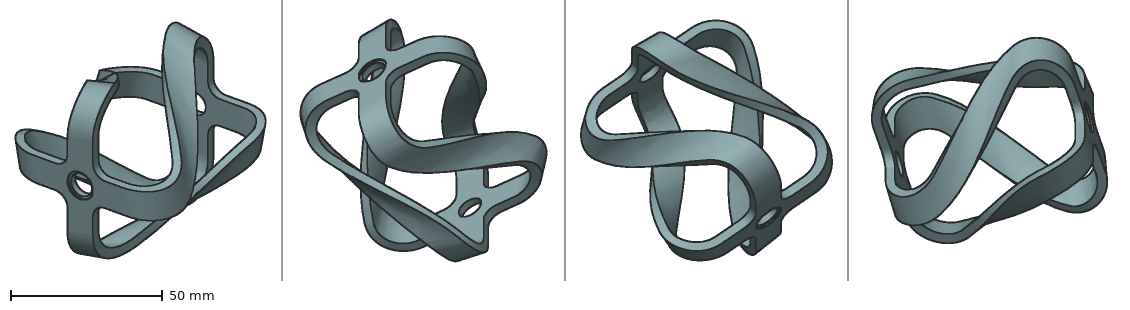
import cadquery as cq

HALF_LENGTH = 68.68 / 2
THICKNESS = 3.25
HALF_WIDTH = 5.2
ARM_COUNT = 4
ROOT_FILLET = 5.0

BORE_DIAMETER = 8.5
COUNTERBORE_DIAMETER = 2 * HALF_WIDTH
COUNTERBORE_DEPTH = 0.7

TRAILING_START = 19.5
TRAILING_SEAM = cq.Vector(32.58, -17.69, -2.43)
TRAILING_HEADING = cq.Vector(-0.3, 1, 0.44).normalized()
TRAILING_HANDLES = (8.59, 9.16, 15.91)

LEADING_START = 16.7
LEADING_SEAM = cq.Vector(27.77, -15.58, 10.68)
LEADING_HEADING = cq.Vector(-0.86, 1, 0.79).normalized()
LEADING_HANDLES = (10.7, 12.99, 16.31)

CORNER_RADIUS = 12.5

SEAM_INWARD = (LEADING_SEAM - TRAILING_SEAM).cross(TRAILING_HEADING + LEADING_HEADING).normalized()


def end_swap(point):
    """Half turn about the line x = z, y = 0, which maps a band's two ends onto each other."""
    return cq.Vector(point.z, -point.y, point.x)


def corner_points(start_x, side, seam, heading, handles, inset):
    """Bezier points of a corner edge, inset below the outer surface."""
    shrink = 1 - inset / CORNER_RADIUS
    start_handle, end_handle, _ = handles
    start = cq.Vector(start_x, -HALF_LENGTH + inset, side * HALF_WIDTH)
    end = seam + SEAM_INWARD * inset
    return [
        start,
        start + cq.Vector(start_handle * shrink, 0, 0),
        end - heading * (end_handle * shrink),
        end,
    ]


def trailing_rail(inset):
    """Bezier points of the trailing edge: front corner, middle and back corner.

    The back half of the trailing edge is the end-swapped leading edge of the front half.
    """
    front = corner_points(
        TRAILING_START, -1, TRAILING_SEAM, TRAILING_HEADING, TRAILING_HANDLES, inset)
    leading = corner_points(
        LEADING_START, 1, LEADING_SEAM, LEADING_HEADING, LEADING_HANDLES, inset)
    leading_middle = leading[-1] + LEADING_HEADING * LEADING_HANDLES[-1]
    middle = [
        front[-1],
        front[-1] + TRAILING_HEADING * TRAILING_HANDLES[-1],
        end_swap(leading_middle),
        end_swap(leading[-1]),
    ]
    back = [end_swap(point) for point in reversed(leading)]
    return [front, middle, back]


def swapped_rail(rail):
    """The opposite long edge of the band, running the same way."""
    return [[end_swap(point) for point in reversed(piece)] for piece in reversed(rail)]


def make_band():
    """Twisted band from the front +X arm to the back +Z arm."""
    trailing_outer = trailing_rail(0)
    trailing_inner = trailing_rail(THICKNESS)
    rails = [
        trailing_outer,
        swapped_rail(trailing_outer),
        swapped_rail(trailing_inner),
        trailing_inner,
    ]

    faces = []
    for pieces in zip(*rails):
        edges = [cq.Edge.makeBezier(points) for points in pieces]
        for index, edge in enumerate(edges):
            faces.append(cq.Face.makeRuledSurface(edges[index - 1], edge))
    for end in (0, -1):
        outline = [rail[end][end] for rail in rails]
        faces.append(cq.Face.makeFromWires(cq.Wire.makePolygon(outline, close=True)))
    solid = cq.Solid.makeSolid(cq.Shell.makeShell(faces))
    return cq.Workplane(obj=solid.fix())


def around_axis(shape):
    """The shape repeated for every arm around the Y axis."""
    return [
        shape.rotate((0, 0, 0), (0, 1, 0), index * 360 / ARM_COUNT)
        for index in range(ARM_COUNT)
    ]


def make_cross():
    """Front cross with skewed arm ends, rounded roots and a bore counterbored from outside."""
    inner_face_y = -HALF_LENGTH + THICKNESS
    plane = cq.Workplane("XZ", origin=(0, inner_face_y, 0))
    arm = plane.polyline([
        (-HALF_WIDTH, -HALF_WIDTH),
        (TRAILING_START, -HALF_WIDTH),
        (LEADING_START, HALF_WIDTH),
        (-HALF_WIDTH, HALF_WIDTH),
    ]).close().extrude(THICKNESS)

    cross, *other_arms = around_axis(arm)
    for other in other_arms:
        cross = cross.union(other)
    cross = cross.clean()

    root_zone = cq.selectors.BoxSelector(
        (-2 * HALF_WIDTH, -HALF_LENGTH, -2 * HALF_WIDTH),
        (2 * HALF_WIDTH, inner_face_y, 2 * HALF_WIDTH),
    )
    cross = cross.edges("|Y").edges(root_zone).fillet(ROOT_FILLET)
    return cross.faces("<Y").workplane(origin=(0, -HALF_LENGTH, 0)).cboreHole(
        BORE_DIAMETER, COUNTERBORE_DIAMETER, COUNTERBORE_DEPTH)


front_cross = make_cross()
back_cross = front_cross.rotate((0, 0, 0), (1, 0, 1), 180)

result = front_cross
for band in around_axis(make_band()):
    result = result.union(band)
result = result.union(back_cross)